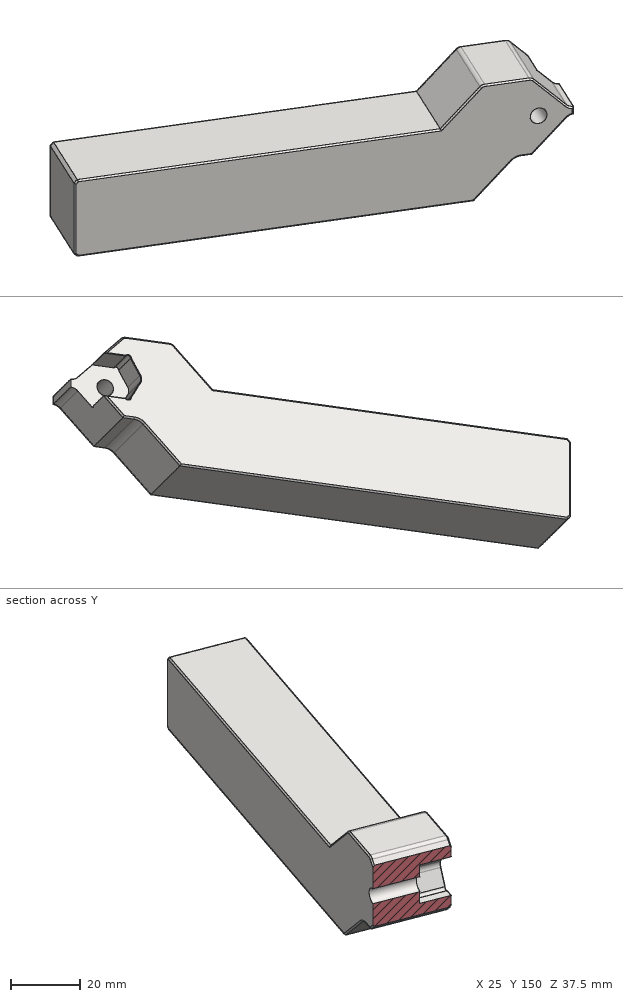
import cadquery as cq
import math

width = 25.0
length = 150.0
shank_height = 25.0
head_drop = shank_height / 2
total_height = shank_height + head_drop

tip_blend_radius = 3.0
head_half_height = (total_height - head_drop) / 2
tip_z = head_drop + head_half_height
top_slope_start = 27.5
bottom_slope_start = 17.5
head_edge_radius = 2.0
throat_radius = 4.0

side_chamfer = 0.5
end_chamfer = 1.0

seat_depth = 10.0
seat_half_height = 6.55
seat_setback = 10.6
seat_nose_radius = 2.2
relief_radius = 0.8
relief_inset = 0.5
seat_rim_chamfer = 0.2
screw_hole_diameter = 5.0


def behind_tip(distance):
    """Y position at a distance behind the tip."""
    return length - distance


seat_y = behind_tip(seat_setback)


def make_body():
    """Shank and cranked head, with rounded corners and broken edges."""
    blend_end = tip_blend_radius * math.sin(math.radians(45))
    blend_rise = tip_blend_radius * (1 - math.cos(math.radians(45)))
    tip_half = blend_end - blend_rise
    body = (
        cq.Workplane("YZ")
        .moveTo(0, 0)
        .lineTo(behind_tip(bottom_slope_start + head_drop), 0)
        .lineTo(behind_tip(bottom_slope_start), head_drop)
        .lineTo(behind_tip(head_half_height), head_drop)
        .lineTo(behind_tip(blend_end), tip_z - blend_end)
        .tangentArcPoint((length, tip_z - tip_half), relative=False)
        .lineTo(length, tip_z + tip_half)
        .radiusArc((behind_tip(blend_end), tip_z + blend_end), tip_blend_radius)
        .lineTo(behind_tip(head_half_height), total_height)
        .lineTo(behind_tip(top_slope_start), total_height)
        .lineTo(behind_tip(top_slope_start + head_drop), shank_height)
        .lineTo(0, shank_height)
        .close()
        .extrude(width / 2, both=True)
    )
    body = round_corner(body, top_slope_start, total_height, head_edge_radius)
    body = round_corner(body, head_half_height, total_height, head_edge_radius)
    body = round_corner(body, bottom_slope_start, head_drop, throat_radius)
    body = body.faces("<Y").edges("|X").chamfer(end_chamfer)
    return body.faces("<X or >X").edges().chamfer(side_chamfer)


def round_corner(body, distance, z, radius):
    """Fillet the cross edge at a distance behind the tip and a height z."""
    corner = cq.selectors.NearestToPointSelector((0, behind_tip(distance), z))
    return body.edges("|X").edges(corner).fillet(radius)


def make_seat():
    """Half-hexagon pocket, open towards the tip, with relieved corners."""
    half_side = seat_half_height * math.tan(math.radians(30))
    nose = 2 * half_side
    outline = [
        (length, seat_half_height + tip_z),
        (seat_y - half_side, seat_half_height + tip_z),
        (seat_y - nose, tip_z),
        (seat_y - half_side, tip_z - seat_half_height),
        (length, tip_z - seat_half_height),
    ]
    plane = cq.Workplane("YZ", origin=(-width / 2, 0, 0))
    seat = plane.polyline(outline).close().extrude(seat_depth)
    seat = seat.edges("|X and <Y").fillet(seat_nose_radius)
    relief_y = seat_y - half_side + relief_inset
    relief_offset = seat_half_height - relief_inset
    reliefs = [(relief_y, tip_z + relief_offset), (relief_y, tip_z - relief_offset)]
    return seat.union(plane.pushPoints(reliefs).circle(relief_radius).extrude(seat_depth))


def cut_seat(body):
    """Cut the seat from the -X face and break its rim."""
    reach = 2 * seat_half_height
    half_box_height = seat_half_height + relief_radius
    margin = seat_rim_chamfer / 2
    rim = cq.selectors.BoxSelector(
        (-width / 2 - margin, seat_y - reach, tip_z - half_box_height),
        (-width / 2 + margin, seat_y + reach, tip_z + half_box_height),
    )
    return body.cut(make_seat()).edges(rim).chamfer(seat_rim_chamfer)


def make_screw_hole():
    """Through hole at the seat centre."""
    plane = cq.Workplane("YZ", origin=(-width / 2, seat_y, tip_z))
    return plane.circle(screw_hole_diameter / 2).extrude(width)


result = cut_seat(make_body()).cut(make_screw_hole())